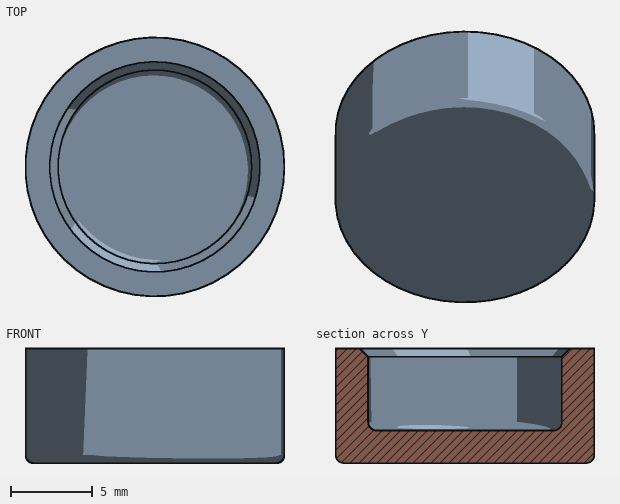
import cadquery as cq

outer_diameter = 15.8
height = 7.0
bore_diameter = 11.8
bore_depth = 5.0
edge_size = 0.5

floor_height = height - bore_depth


def make_body():
    """Solid cylinder with a rounded bottom edge."""
    body = cq.Workplane("XY").circle(outer_diameter / 2).extrude(height)
    return body.faces("<Z").edges().fillet(edge_size)


def make_bore():
    """Blind bore volume, rounded where its wall meets the floor."""
    bore = (
        cq.Workplane("XY")
        .workplane(offset=floor_height)
        .circle(bore_diameter / 2)
        .extrude(bore_depth)
    )
    return bore.faces("<Z").edges().fillet(edge_size)


def chamfer_rim(cup):
    """Bevel the inner edge of the open rim."""
    return cup.faces(">Z").edges(cq.selectors.RadiusNthSelector(0)).chamfer(edge_size)


result = chamfer_rim(make_body().cut(make_bore()))